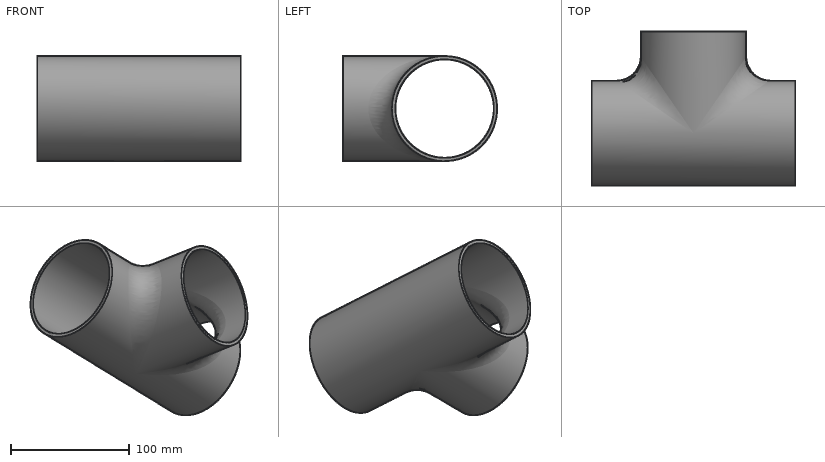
import cadquery as cq
import math

RUN_LENGTH = 172.0
TOTAL_DEPTH = 130.4
OUTER_DIAMETER = 89.0
BORE_DIAMETER = 82.9
CROTCH_RADIUS = 20.0
BLEND_SECTIONS = 9

OUTER_RADIUS = OUTER_DIAMETER / 2
BORE_RADIUS = BORE_DIAMETER / 2
WALL = OUTER_RADIUS - BORE_RADIUS
BRANCH_REACH = TOTAL_DEPTH - OUTER_RADIUS


def half_ellipse(radius, x, y):
    """Closed half ellipse, flat side on the Z axis and bulging out to the point (x, y, 0)."""
    plane = cq.Plane(origin=(0, 0, 0), xDir=(x, y, 0), normal=(y, -x, 0))
    bulge = cq.Workplane(plane).moveTo(0, -radius).ellipseArc(
        math.hypot(x, y), radius, angle1=-90, angle2=90, startAtCurrent=True)
    return bulge.close().val()


def crotch_wedge(radius, blend_radius):
    """Wedge on the +X side whose rounded face blends the run into the branch.

    The blend is a quarter circle at mid height and shrinks to a point at the top and bottom.
    """
    center = radius + blend_radius
    sections = []
    for index in range(BLEND_SECTIONS):
        angle = math.radians(180 + 90 * index / (BLEND_SECTIONS - 1))
        x = center + blend_radius * math.cos(angle)
        y = center + blend_radius * math.sin(angle)
        sections.append(half_ellipse(radius, x, y))
    loft_faces = cq.Solid.makeLoft(sections).Faces()
    wedge_faces = sorted(loft_faces, key=lambda face: face.Area())[1:]
    return cq.Workplane(cq.Solid.makeSolid(cq.Shell.makeShell(wedge_faces)))


def crotch_clearance(radius, blend_radius):
    """Upright prism between the two outer planes of the wedge, doubled in size to clear the pipes."""
    near = 2 * radius
    far = 2 * (radius + blend_radius)
    corners = [(0, 0), (far, near), (far, far), (near, far)]
    return cq.Workplane("XY").polyline(corners).close().extrude(near, both=True)


def solid_tee(radius, blend_radius):
    """Tee without a bore, blended on both sides of the branch."""
    run = cq.Workplane("YZ").circle(radius).extrude(RUN_LENGTH / 2, both=True)
    branch = cq.Workplane("XZ").circle(radius).extrude(-BRANCH_REACH)
    clearance = crotch_clearance(radius, blend_radius)
    wedge = crotch_wedge(radius, blend_radius)
    pipes = run.union(branch).cut(clearance).cut(clearance.mirror("YZ"))
    return pipes.union(wedge).union(wedge.mirror("YZ"))


outside = solid_tee(OUTER_RADIUS, CROTCH_RADIUS)
bore = solid_tee(BORE_RADIUS, CROTCH_RADIUS + WALL)
result = outside.cut(bore)